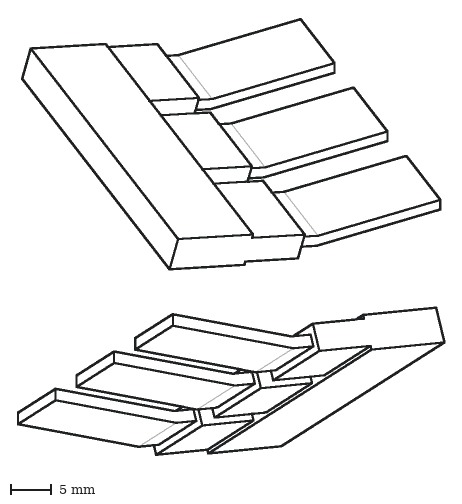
import cadquery as cq
import math

total_width = 41.8
total_depth = 37.1
tilt = 15.0
bar_length = 10.5
bar_thickness = 4.47
sleeve_length = 7.35
sleeve_thickness = 3.5
sleeve_width = 11.85
blade_width = 9.65
blade_thickness = 1.5
blade_flat_length = 16.65
blade_lift = 0.15
blade_embed = 2.1
pole_count = 3

pole_pitch = (total_width - sleeve_width) / (pole_count - 1)
sin_tilt = math.sin(math.radians(tilt))
cos_tilt = math.cos(math.radians(tilt))

housing_length = sleeve_length + bar_length
sleeve_back_y = housing_length * cos_tilt + bar_thickness / 2 * sin_tilt
sleeve_back_z = sleeve_thickness / 2 * cos_tilt


def tilted_block(width, length, thickness, start):
    """Block centred on X = 0, running forward and up from `start` along the housing axis."""
    return (
        cq.Workplane("XY")
        .box(width, length, thickness, centered=(True, False, True))
        .translate((0, -start - length, 0))
        .rotate((0, 0, 0), (1, 0, 0), -tilt)
        .translate((0, sleeve_back_y, sleeve_back_z))
    )


def bent_blade():
    """Flat contact blade whose root bends upward into the sleeve."""
    mid_z = blade_lift + blade_thickness / 2
    bend_y = total_depth - blade_flat_length
    root_y = sleeve_back_y - blade_embed * cos_tilt
    root_z = mid_z + (bend_y - root_y) * math.tan(math.radians(tilt))
    half = blade_thickness / 2
    miter = half * math.tan(math.radians(tilt / 2))
    root_dy = half * sin_tilt
    root_dz = half * cos_tilt
    profile = [
        (total_depth, mid_z - half),
        (total_depth, mid_z + half),
        (bend_y + miter, mid_z + half),
        (root_y + root_dy, root_z + root_dz),
        (root_y - root_dy, root_z - root_dz),
        (bend_y - miter, mid_z - half),
    ]
    return cq.Workplane("YZ").polyline(profile).close().extrude(blade_width / 2, both=True)


result = tilted_block(total_width, bar_length, bar_thickness, sleeve_length)
pole = tilted_block(sleeve_width, sleeve_length, sleeve_thickness, 0).union(bent_blade())
for index in range(pole_count):
    pole_x = (index - (pole_count - 1) / 2) * pole_pitch
    result = result.union(pole.translate((pole_x, 0, 0)))